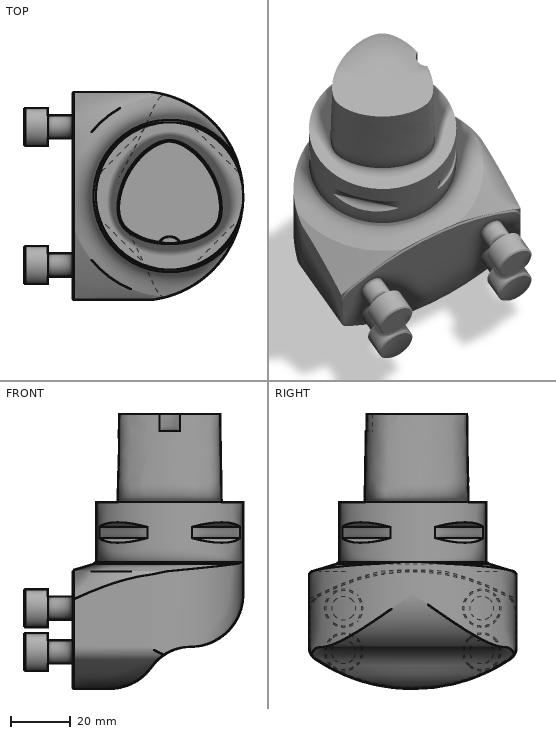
import cadquery as cq
import math

shank_length = 29.9
shank_base_radius = 17.67
shank_top_radius = 17.2
lobe_height = 1.3
outline_points = 48

notch_radius = 4.0
notch_center_y = -17.7
notch_depth = 5.8

collar_radius = 25.0
collar_height = 20.2
slot_z = -10.3
slot_depth = 2.8
slot_floor_half_height = 1.9
slot_wall_angle = 30.0
slot_count = 4

neck_radius = 25.8
neck_z = -20.9
shoulder_radius = 34.2
shoulder_z = -23.4
steep_cone_slope = 0.69

body_bottom_z = shank_length - 93.25
mount_face_x = -32.9
body_half_width = 35.25
back_radius = 35.5
elbow_radius = 18.0
elbow_concave_radius = 15.9
elbow_center_z = -31.05
belly_radius = 58.75
belly_fillet = 5.0
face_chamfer = 0.5
face_top_z = -23.6
face_top_corner_z = -33.7
face_corner_radius = 6.1

screw_shank_diameter = 8.0
screw_head_diameter = 13.0
screw_head_length = 8.0
screw_tip_x = -49.3
screw_chamfer = 0.5
screw_y = 23.4
screw_rows_z = (-35.9, -50.7)


def lobed_point(mean_radius, angle):
    """Point on a constant-width three-lobed curve with one lobe toward +Y."""
    phase = 3 * (angle - math.pi / 2)
    support = mean_radius + lobe_height * math.cos(phase)
    slope = -3 * lobe_height * math.sin(phase)
    x = support * math.cos(angle) - slope * math.sin(angle)
    y = support * math.sin(angle) + slope * math.cos(angle)
    return (x, y)


def lobed_outline(mean_radius):
    step = 2 * math.pi / outline_points
    return [lobed_point(mean_radius, i * step) for i in range(outline_points)]


def make_shank():
    shank = (
        cq.Workplane("XY")
        .spline(lobed_outline(shank_base_radius), periodic=True).close()
        .workplane(offset=shank_length)
        .spline(lobed_outline(shank_top_radius), periodic=True).close()
        .loft(ruled=True)
    )
    notch = (
        cq.Workplane("XY", origin=(0, notch_center_y, shank_length - notch_depth))
        .circle(notch_radius)
        .extrude(notch_depth)
    )
    return shank.cut(notch)


def make_collar():
    """Round flange with flat-bottomed slots that flare outward."""
    collar = cq.Workplane("XY").circle(collar_radius).extrude(-collar_height)
    floor = collar_radius - slot_depth
    mouth_half_height = slot_floor_half_height + slot_depth * math.tan(math.radians(slot_wall_angle))
    slot = (
        cq.Workplane("XZ")
        .polyline([
            (floor, slot_z - slot_floor_half_height),
            (collar_radius, slot_z - mouth_half_height),
            (collar_radius, slot_z + mouth_half_height),
            (floor, slot_z + slot_floor_half_height),
        ])
        .close()
        .extrude(collar_radius, both=True)
    )
    for i in range(slot_count):
        collar = collar.cut(slot.rotate((0, 0, 0), (0, 0, 1), 45 + i * 360 / slot_count))
    return collar


def side_profile():
    """Elbow outline in XZ: two equal convex arcs joined by a concave one."""
    upper_x = collar_radius - elbow_radius
    concave_z = elbow_center_z - elbow_radius - elbow_concave_radius
    lower_z = body_bottom_z + elbow_radius
    rise = lower_z - concave_z
    center_distance = elbow_radius + elbow_concave_radius
    run = math.sqrt(center_distance ** 2 - rise ** 2)
    lower_x = upper_x - run
    concave_share = elbow_concave_radius / center_distance
    inflection = (upper_x - run * concave_share, concave_z + rise * concave_share)
    diagonal = elbow_radius * math.sqrt(0.5)
    join_angle = math.atan2(rise, run)
    concave_angle = (math.pi - join_angle + math.pi / 2) / 2
    lower_angle = (join_angle + math.pi / 2) / 2
    concave_mid = (
        upper_x + elbow_concave_radius * math.cos(concave_angle),
        concave_z + elbow_concave_radius * math.sin(concave_angle),
    )
    lower_mid = (
        lower_x + elbow_radius * math.cos(lower_angle),
        lower_z - elbow_radius * math.sin(lower_angle),
    )
    return (
        cq.Workplane("XZ")
        .moveTo(mount_face_x, -collar_height)
        .lineTo(collar_radius, -collar_height)
        .lineTo(collar_radius, elbow_center_z)
        .threePointArc(
            (upper_x + diagonal, elbow_center_z - diagonal),
            (upper_x, elbow_center_z - elbow_radius),
        )
        .threePointArc(concave_mid, inflection)
        .threePointArc(lower_mid, (lower_x, body_bottom_z))
        .lineTo(mount_face_x, body_bottom_z)
        .close()
        .extrude(2 * body_half_width, both=True)
    )


def plan_profile():
    """Parallel flanks closed by a round back."""
    center_x = collar_radius - back_radius
    flank_end_x = center_x + math.sqrt(back_radius ** 2 - body_half_width ** 2)
    return (
        cq.Workplane("XY")
        .moveTo(mount_face_x, -body_half_width)
        .lineTo(flank_end_x, -body_half_width)
        .threePointArc((collar_radius, 0), (flank_end_x, body_half_width))
        .lineTo(mount_face_x, body_half_width)
        .close()
        .extrude(body_bottom_z)
    )


def belly_corner_z(inset):
    """Height where the belly arc, offset inward by inset, meets the equally inset flank."""
    half_width = body_half_width - inset
    radius = belly_radius - inset
    return body_bottom_z + belly_radius - math.sqrt(radius ** 2 - half_width ** 2)


def belly_section():
    """Vertical sides over a shallow round belly, with rounded corners."""
    corner_z = belly_corner_z(0)
    return (
        cq.Workplane("YZ", origin=(mount_face_x, 0, 0))
        .moveTo(-body_half_width, 0)
        .lineTo(-body_half_width, corner_z)
        .threePointArc((0, body_bottom_z), (body_half_width, corner_z))
        .lineTo(body_half_width, 0)
        .close()
        .extrude(collar_radius - mount_face_x)
        .edges("|X and (not >Z)")
        .fillet(belly_fillet)
    )


def face_rim():
    """Mounting-face outline, inset and rounded, flaring back at 45 degrees to the flanks."""
    half_width = body_half_width - face_chamfer
    corner_z = belly_corner_z(face_chamfer)
    prism = (
        cq.Workplane("YZ", origin=(mount_face_x, 0, 0))
        .moveTo(-half_width, face_top_corner_z)
        .lineTo(-half_width, corner_z)
        .threePointArc((0, body_bottom_z + face_chamfer), (half_width, corner_z))
        .lineTo(half_width, face_top_corner_z)
        .threePointArc((0, face_top_z), (-half_width, face_top_corner_z))
        .close()
        .extrude(face_chamfer)
    )
    prism = prism.edges("|X").edges("<Z").fillet(belly_fillet - face_chamfer)
    prism = prism.edges("|X").edges(">Z").fillet(face_corner_radius)
    outline = prism.faces("<X").wires().val()
    return (
        cq.Workplane("YZ", origin=(mount_face_x, 0, 0))
        .add(outline)
        .toPending()
        .extrude(face_chamfer, taper=-45)
    )


def shoulder_cones():
    """Solid of revolution that shapes the top of the body."""
    outer_radius = 2 * body_half_width
    outer_z = shoulder_z - steep_cone_slope * (outer_radius - shoulder_radius)
    return (
        cq.Workplane("XZ")
        .polyline([
            (0, -collar_height),
            (collar_radius, -collar_height),
            (neck_radius, neck_z),
            (shoulder_radius, shoulder_z),
            (outer_radius, outer_z),
            (outer_radius, body_bottom_z),
            (0, body_bottom_z),
        ])
        .close()
        .revolve(360, (0, 0, 0), (0, 1, 0))
    )


def make_body():
    body = plan_profile().intersect(side_profile()).intersect(belly_section()).intersect(shoulder_cones())
    rear = body.intersect(
        cq.Workplane("YZ", origin=(mount_face_x + face_chamfer, 0, 0))
        .rect(4 * body_half_width, 4 * abs(body_bottom_z))
        .extrude(collar_radius - mount_face_x)
    )
    return rear.union(body.intersect(face_rim()))


def make_screw(y, z):
    head = (
        cq.Workplane("YZ", origin=(screw_tip_x, y, z))
        .circle(screw_head_diameter / 2)
        .extrude(screw_head_length)
        .faces("<X")
        .chamfer(screw_chamfer)
    )
    shank = (
        cq.Workplane("YZ", origin=(screw_tip_x + screw_head_length, y, z))
        .circle(screw_shank_diameter / 2)
        .extrude(mount_face_x + face_chamfer - screw_tip_x - screw_head_length)
    )
    return head.union(shank)


result = make_body().union(make_collar()).union(make_shank())
for row_z in screw_rows_z:
    for side in (-1, 1):
        result = result.union(make_screw(side * screw_y, row_z))